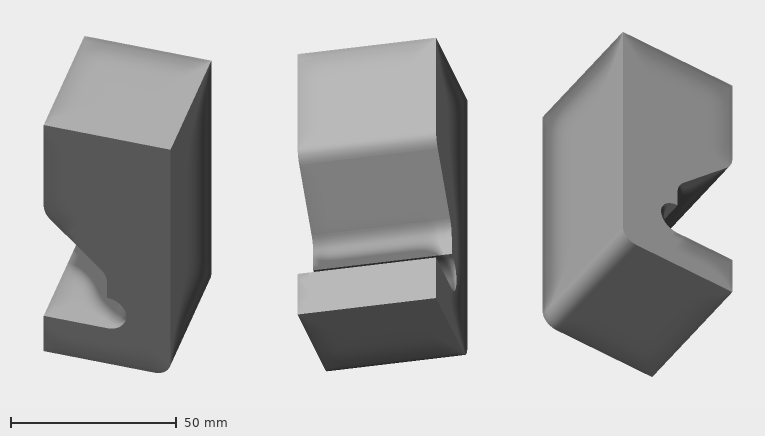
import cadquery as cq

width = 40.0
depth = 43.0
height = 90.0

arm_thickness = 14.0
neck_x = width / 2
groove_radius = 6.0
groove_center_z = arm_thickness + groove_radius
groove_top_z = groove_center_z + groove_radius

ramp_bottom_z = 35.0
ramp_top_z = ramp_bottom_z + neck_x
ramp_fillet = 7.2

heel_fillet = 5.0

profile = (
    cq.Workplane("XZ")
    .lineTo(width, 0)
    .lineTo(width, height)
    .lineTo(0, height)
    .lineTo(0, ramp_top_z)
    .lineTo(neck_x, ramp_bottom_z)
    .lineTo(neck_x, groove_top_z)
    .threePointArc((neck_x + groove_radius, groove_center_z), (neck_x, arm_thickness))
    .lineTo(0, arm_thickness)
    .close()
)
hook = profile.extrude(-depth)


def round_edge(body, x, z, radius):
    """Fillet the edge that runs along Y through (x, z)."""
    edge = cq.selectors.NearestToPointSelector((x, depth / 2, z))
    return body.edges("|Y").edges(edge).fillet(radius)


hook = round_edge(hook, 0, ramp_top_z, ramp_fillet)
hook = round_edge(hook, neck_x, ramp_bottom_z, ramp_fillet)
hook = round_edge(hook, width, 0, heel_fillet)

result = hook